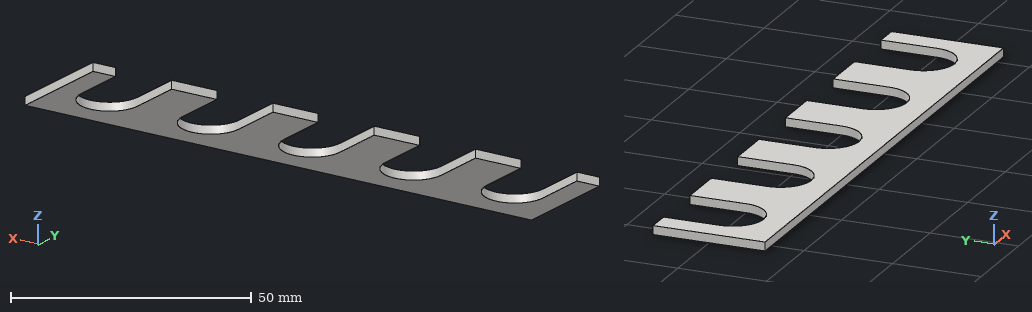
import cadquery as cq

length = 127.0
depth = 25.4
thickness = 2.0
slot_count = 5
slot_width = 14.0
spine_width = 5.7

slot_pitch = length / slot_count
slot_radius = slot_width / 2
arc_center_y = spine_width + slot_radius


def round_bottom_slot(center_x):
    """Cutter for a slot open at the back edge with a semicircular bottom."""
    return (
        cq.Workplane("XY")
        .moveTo(center_x - slot_radius, depth)
        .lineTo(center_x - slot_radius, arc_center_y)
        .threePointArc((center_x, spine_width), (center_x + slot_radius, arc_center_y))
        .lineTo(center_x + slot_radius, depth)
        .close()
        .extrude(thickness)
    )


result = cq.Workplane("XY").box(length, depth, thickness, centered=False)

for index in range(slot_count):
    result = result.cut(round_bottom_slot((index + 0.5) * slot_pitch))